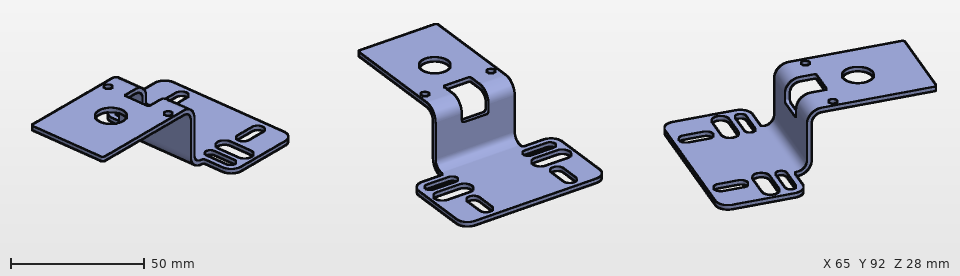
import cadquery as cq

length = 92.0
height = 28.0
thickness = 2.0
inner_bend_radius = 4.0
outer_bend_radius = inner_bend_radius + thickness

plate_width = 65.0
plate_depth = 35.0
plate_corner_radius = 5.0
tongue_width = 36.0
tongue_corner_radius = 1.0
neck_fillet_radius = 1.0
web_rear_y = -40.0
web_front_y = web_rear_y - thickness
bend_start_y = web_rear_y + inner_bend_radius

slot_travel = 9.9
side_slot_x = 22.3
wide_slot_width = 6.8
wide_slot_y = -22.1
narrow_slot_width = 4.3
narrow_slot_y = -30.1
rear_slot_x = 19.0
rear_slot_width = 5.4
rear_slot_length = 13.5
rear_slot_y = -9.3

main_hole_diameter = 12.0
main_hole_y = -67.0
small_hole_diameter = 3.3
small_hole_x = 15.0
small_hole_y = -51.5
window_width = 12.1
window_front_y = -52.4
window_bottom_z = 18.0
window_front_radius = 0.7
window_bottom_radius = 1.2


def folded_strip():
    """Constant-width strip following the Z-shaped bends."""
    profile = (
        cq.Workplane("YZ")
        .moveTo(0, 0)
        .lineTo(bend_start_y, 0)
        .radiusArc((web_front_y, outer_bend_radius), outer_bend_radius)
        .lineTo(web_front_y, height - outer_bend_radius)
        .radiusArc((web_front_y - inner_bend_radius, height - thickness), -inner_bend_radius)
        .lineTo(-length, height - thickness)
        .lineTo(-length, height)
        .lineTo(web_rear_y - outer_bend_radius, height)
        .radiusArc((web_rear_y, height - outer_bend_radius), outer_bend_radius)
        .lineTo(web_rear_y, outer_bend_radius)
        .radiusArc((bend_start_y, thickness), -inner_bend_radius)
        .lineTo(0, thickness)
        .close()
    )
    strip = profile.extrude(tongue_width / 2, both=True)
    return strip.edges("|Z and <Y").fillet(tongue_corner_radius)


def mounting_plate():
    """Wide rounded plate with small fillets running into the neck."""
    plate = (
        cq.Workplane("XY")
        .center(0, -plate_depth / 2)
        .rect(plate_width, plate_depth)
        .extrude(thickness)
        .edges("|Z")
        .fillet(plate_corner_radius)
    )
    for side in (-1, 1):
        neck_x = side * tongue_width / 2
        neck_end = (neck_x, -plate_depth - neck_fillet_radius)
        fillet = (
            cq.Workplane("XY")
            .moveTo(neck_x + side * neck_fillet_radius, -plate_depth)
            .radiusArc(neck_end, -side * neck_fillet_radius)
            .lineTo(neck_x, -plate_depth)
            .close()
            .extrude(thickness)
        )
        plate = plate.union(fillet)
    return plate


def through_slots(x, y, slot_length, width, angle=0):
    """Mirrored pair of slot cutters; the angle is measured from X."""
    return (
        cq.Workplane("XY")
        .pushPoints([(-x, y), (x, y)])
        .slot2D(slot_length, width, angle)
        .extrude(thickness)
    )


def through_holes(points, diameter):
    """Round cutters through the tongue."""
    return (
        cq.Workplane("XY", origin=(0, 0, height - thickness))
        .pushPoints(points)
        .circle(diameter / 2)
        .extrude(thickness)
    )


def window():
    """Cutter opening the upper bend, from the web into the tongue."""
    depth = web_rear_y - window_front_y
    return (
        cq.Workplane("XY", origin=(0, (web_rear_y + window_front_y) / 2, window_bottom_z))
        .rect(window_width, depth)
        .extrude(height - window_bottom_z)
        .edges("|Z and <Y")
        .fillet(window_front_radius)
        .edges("|Y and <Z")
        .fillet(window_bottom_radius)
    )


plate_cutters = [
    through_slots(side_slot_x, wide_slot_y, slot_travel + wide_slot_width, wide_slot_width),
    through_slots(side_slot_x, narrow_slot_y, slot_travel + narrow_slot_width, narrow_slot_width),
    through_slots(rear_slot_x, rear_slot_y, rear_slot_length, rear_slot_width, 90),
]
tongue_cutters = [
    through_holes([(0, main_hole_y)], main_hole_diameter),
    through_holes([(-small_hole_x, small_hole_y), (small_hole_x, small_hole_y)], small_hole_diameter),
    window(),
]

result = folded_strip().union(mounting_plate())
for cutter in plate_cutters + tongue_cutters:
    result = result.cut(cutter)